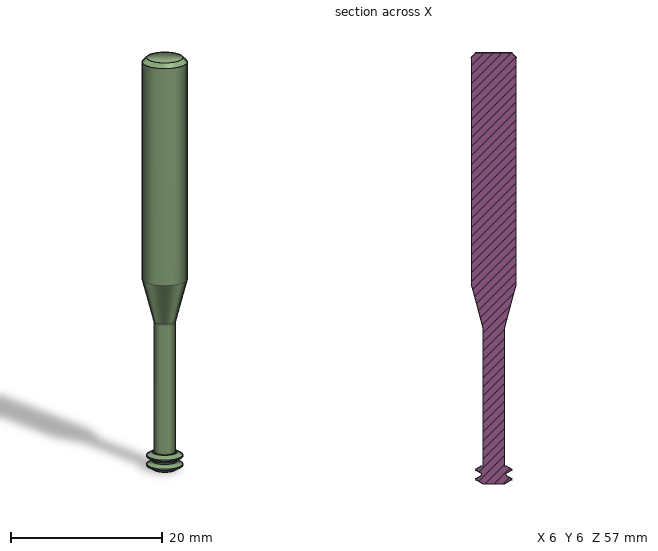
import cadquery as cq
import math

total_length = 57.0
shank_diameter = 6.0
neck_diameter = 2.85
crest_diameter = 4.8
root_diameter = 3.3

shank_end_chamfer = 0.6
shank_bottom = 26.35

taper_angle = 15.0
taper_blend_radius = 0.75

tip_diameter = 2.85
tooth_count = 2
tooth_pitch = 1.25
first_crest_bottom = 0.55
crest_width = 0.15
flank_height = 0.43

shank_radius = shank_diameter / 2
neck_radius = neck_diameter / 2
crest_radius = crest_diameter / 2
root_radius = root_diameter / 2
tip_radius = tip_diameter / 2


def tooth_points(index):
    """Radius and height of the corners of one ring tooth, from the bottom up."""
    crest_bottom = first_crest_bottom + index * tooth_pitch
    crest_top = crest_bottom + crest_width
    if index == 0:
        lower_corner = (tip_radius, 0)
    else:
        lower_corner = (root_radius, crest_bottom - flank_height)
    return [
        lower_corner,
        (crest_radius, crest_bottom),
        (crest_radius, crest_top),
        (root_radius, crest_top + flank_height),
    ]


taper = math.radians(taper_angle)
taper_bottom = shank_bottom - (shank_radius - neck_radius) / math.tan(taper)
blend_bottom = taper_bottom - taper_blend_radius * math.tan(taper / 2)
blend_center_radius = neck_radius + taper_blend_radius


def blend_point(angle):
    """Point on the blend arc, with the angle measured up from the neck end."""
    return (
        blend_center_radius - taper_blend_radius * math.cos(angle),
        blend_bottom + taper_blend_radius * math.sin(angle),
    )


profile = cq.Workplane("XZ").moveTo(0, 0)
for index in range(tooth_count):
    for radius, height in tooth_points(index):
        profile = profile.lineTo(radius, height)

head_top = first_crest_bottom + (tooth_count - 1) * tooth_pitch + crest_width + flank_height
profile = (
    profile.lineTo(neck_radius, head_top)
    .lineTo(neck_radius, blend_bottom)
    .threePointArc(blend_point(taper / 2), blend_point(taper))
    .lineTo(shank_radius, shank_bottom)
    .lineTo(shank_radius, total_length - shank_end_chamfer)
    .lineTo(shank_radius - shank_end_chamfer, total_length)
    .lineTo(0, total_length)
    .close()
)

result = profile.revolve(360, (0, 0, 0), (0, 1, 0))